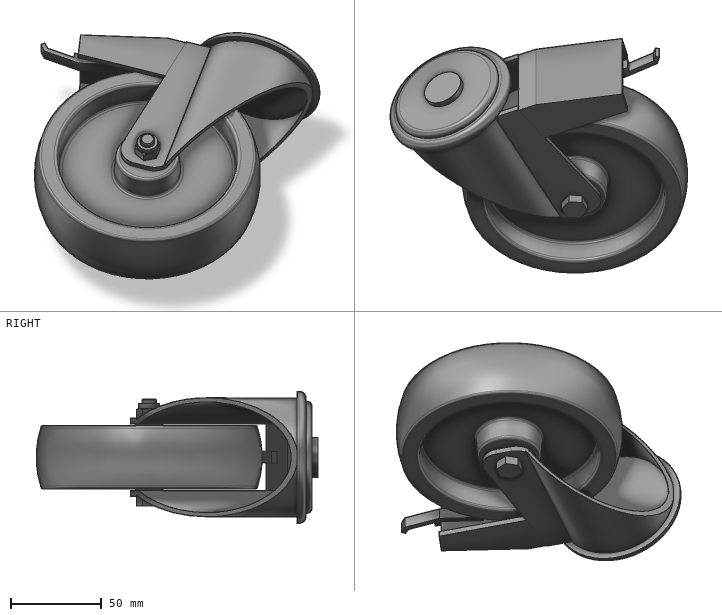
import cadquery as cq
import math


WHEEL_R = 62.5
WHEEL_HALF_W = 17.5
TREAD_EDGE_R = 60.0
TREAD_EDGE_Z = 16.0
SIDE_OUTER_R = 58.5
RIM_LIP_R = 49.6
RIM_FOOT_R = 48.8
RIM_LIP_ROUND = 2.0
WEB_HALF_T = 3.8
WEB_ROUND = 1.7
HUB_TOP_R = 17.5
HUB_FOOT_R = 18.3
HUB_TOP_ROUND = 1.9
HUB_FOOT_ROUND = 1.7
SPACER_R = 15.0 / 2

BOLT_R = 8.0 / 2
BOLT_CHAMFER = 0.6
HEX_FLATS = 12.4
NUT_BEVEL_R = 12.0 / 2
NUT_BEVEL_ANGLE = 30
COLLAR_R = 11.6 / 2
HEX_TOP_Z = 26.9
COLLAR_TOP_Z = 29.7
BOLT_TOP_Z = 32.2
HEAD_BOTTOM_Z = -HEX_TOP_Z

SWIVEL_X = 37.1
STUD_R = 22.0 / 2
STUD_TOP_Y = 93.3
UPPER_RACE_R = 62.0 / 2
UPPER_RACE_TOP_Y = 90.0
UPPER_RACE_ROUND = 3.1
LOWER_RACE_R = 73.0 / 2
LOWER_RACE_TOP_Y = 86.5
LOWER_RACE_ROUND = 3.8
LOWER_RACE_BOTTOM_Y = 81.7

FORK_TOP_Y = 79.7
LEG_OUTER_Z = 21.6
LEG_T = 3.1
LEG_INNER_Z = LEG_OUTER_Z - LEG_T
LEG_TOP_LEFT_X = -2.5
LEG_FOOT_LEFT_X = -16.7
LEG_FOOT_RIGHT_X = 9.7
LEG_FOOT_Y = -10.3
LEG_FOOT_ROUND = 10.5
NECK_R = 32.9
NECK_INNER_R = 61.0 / 2
NECK_START_X = 11.6
NECK_CUT_X = 69.8

COVER_TOP_Y = 79.0
COVER_KNEE_X = -13.1
COVER_TIP = (-59.8, 66.7)
COVER_TOE = (-57.0, 53.4)
COVER_WEB_T = 2.3
COVER_TOP_T = 2.7
COVER_SLOPE = math.atan2(COVER_TOP_Y - COVER_TIP[1], COVER_KNEE_X - COVER_TIP[0])

LEVER_HALF_W = 3.3
LEVER_OUTLINE = [
    (-59.2, 61.2),
    (-79.8, 63.5),
    (-83.0, 67.5),
    (-81.2, 69.0),
    (-78.5, 66.0),
    (-63.0, 64.3),
    (-63.4, 67.1),
    (-60.9, 67.8),
]
LEVER_ARM_T = 3.5
LEVER_ARM_LENGTH = 24.3


def extrude_about_mid_plane(points, half_width):
    return cq.Workplane("XY").polyline(points).close().extrude(half_width, both=True)


def swivel_cylinder(radius, y_low, y_high):
    """Cylinder on the swivel axis, between two heights along Y."""
    return (
        cq.Workplane("XZ", origin=(SWIVEL_X, y_low, 0))
        .circle(radius)
        .extrude(y_low - y_high)
    )


def revolve_about_axle(section):
    return section.close().revolve(360, (0, 0, 0), (0, 1, 0))


def make_tread_disc():
    """Full-width disc with a crowned tread and rounded edges."""
    edge_round = WHEEL_HALF_W - TREAD_EDGE_Z
    section = (
        cq.Workplane("XZ")
        .moveTo(0, WHEEL_HALF_W)
        .lineTo(SIDE_OUTER_R, WHEEL_HALF_W)
        .radiusArc((TREAD_EDGE_R, TREAD_EDGE_Z), edge_round)
        .threePointArc((WHEEL_R, 0), (TREAD_EDGE_R, -TREAD_EDGE_Z))
        .radiusArc((SIDE_OUTER_R, -WHEEL_HALF_W), edge_round)
        .lineTo(0, -WHEEL_HALF_W)
    )
    return revolve_about_axle(section)


def make_side_recess():
    """Ring-shaped recess between hub and rim in the upper side of the wheel."""
    section = (
        cq.Workplane("XZ")
        .moveTo(HUB_TOP_R - HUB_TOP_ROUND, WHEEL_HALF_W)
        .radiusArc((HUB_TOP_R, WHEEL_HALF_W - HUB_TOP_ROUND), HUB_TOP_ROUND)
        .lineTo(HUB_FOOT_R, WEB_HALF_T + HUB_FOOT_ROUND)
        .radiusArc((HUB_FOOT_R + HUB_FOOT_ROUND, WEB_HALF_T), -HUB_FOOT_ROUND)
        .lineTo(RIM_FOOT_R - WEB_ROUND, WEB_HALF_T)
        .radiusArc((RIM_FOOT_R, WEB_HALF_T + WEB_ROUND), -WEB_ROUND)
        .lineTo(RIM_LIP_R, WHEEL_HALF_W - RIM_LIP_ROUND)
        .radiusArc((RIM_LIP_R + RIM_LIP_ROUND, WHEEL_HALF_W), RIM_LIP_ROUND)
    )
    return revolve_about_axle(section)


def make_wheel():
    recess = make_side_recess()
    spacer = cq.Workplane("XY").circle(SPACER_R).extrude(LEG_INNER_Z, both=True)
    bore = cq.Workplane("XY").circle(BOLT_R).extrude(LEG_INNER_Z, both=True)
    disc = make_tread_disc().cut(recess).cut(recess.mirror("XY"))
    return disc.union(spacer).cut(bore)


def hexagon(z_low, z_high):
    """Hexagonal prism with corners on the Y direction."""
    across_corners = HEX_FLATS / math.cos(math.pi / 6)
    return (
        cq.Workplane("XY", origin=(0, 0, z_low))
        .transformed(rotate=(0, 0, 90))
        .polygon(6, across_corners)
        .extrude(z_high - z_low)
    )


def make_bolt():
    nut = hexagon(LEG_OUTER_Z, HEX_TOP_Z)
    height = HEX_TOP_Z - LEG_OUTER_Z
    bevel_cone = (
        cq.Workplane("XY", origin=(0, 0, HEX_TOP_Z))
        .circle(NUT_BEVEL_R)
        .extrude(-height, taper=-(90 - NUT_BEVEL_ANGLE))
    )
    nut = nut.intersect(bevel_cone)
    collar = (
        cq.Workplane("XY", origin=(0, 0, HEX_TOP_Z))
        .circle(COLLAR_R)
        .extrude(COLLAR_TOP_Z - HEX_TOP_Z)
    )
    shank = (
        cq.Workplane("XY", origin=(0, 0, -LEG_OUTER_Z))
        .circle(BOLT_R)
        .extrude(BOLT_TOP_Z + LEG_OUTER_Z)
        .faces(">Z")
        .chamfer(BOLT_CHAMFER)
    )
    head = hexagon(HEAD_BOTTOM_Z, -LEG_OUTER_Z)
    return shank.union(head).union(nut).union(collar)


def make_swivel_head():
    stud = swivel_cylinder(STUD_R, LOWER_RACE_TOP_Y, STUD_TOP_Y)
    upper_race = swivel_cylinder(UPPER_RACE_R, LOWER_RACE_TOP_Y, UPPER_RACE_TOP_Y)
    upper_race = upper_race.faces(">Y").edges().fillet(UPPER_RACE_ROUND)
    lower_race = swivel_cylinder(LOWER_RACE_R, LOWER_RACE_BOTTOM_Y, LOWER_RACE_TOP_Y)
    lower_race = lower_race.faces(">Y").edges().fillet(LOWER_RACE_ROUND)
    return lower_race.union(upper_race).union(stud)


def leg_edge_x(y):
    """X of the slanted back edge of the legs at a given height."""
    share = (FORK_TOP_Y - y) / (FORK_TOP_Y - LEG_FOOT_Y)
    return LEG_TOP_LEFT_X + share * (LEG_FOOT_LEFT_X - LEG_TOP_LEFT_X)


def fork_side():
    """Solid block with the side outline shared by the legs, the neck and its cap."""
    outline = [
        (leg_edge_x(LOWER_RACE_BOTTOM_Y), LOWER_RACE_BOTTOM_Y),
        (LEG_FOOT_LEFT_X, LEG_FOOT_Y),
        (LEG_FOOT_RIGHT_X, LEG_FOOT_Y),
        (NECK_CUT_X, LOWER_RACE_BOTTOM_Y),
    ]
    block = extrude_about_mid_plane(outline, NECK_R)
    return block.edges("|Z and <Y").fillet(LEG_FOOT_ROUND)


def slot(end_x, half_width):
    """Block below the cap, from behind the legs up to end_x."""
    length = end_x - LEG_FOOT_LEFT_X
    height = FORK_TOP_Y - LEG_FOOT_Y
    corner = (LEG_FOOT_LEFT_X, LEG_FOOT_Y, -half_width)
    return cq.Workplane("XY").box(length, height, 2 * half_width, centered=False).translate(corner)


def make_legs(side):
    plates = slot(NECK_START_X, LEG_OUTER_Z).cut(slot(NECK_START_X, LEG_INNER_Z))
    return plates.intersect(side)


def make_neck(side):
    """Tube open towards the legs, closed by a cap under the swivel head."""
    cap = swivel_cylinder(NECK_R, FORK_TOP_Y, LOWER_RACE_BOTTOM_Y)
    tube = swivel_cylinder(NECK_R, LEG_FOOT_Y, FORK_TOP_Y)
    tube = tube.cut(swivel_cylinder(NECK_INNER_R, LEG_FOOT_Y, FORK_TOP_Y))
    between_legs = slot(SWIVEL_X, LEG_INNER_Z)
    behind_legs = slot(NECK_START_X, NECK_R)
    return cap.union(tube.cut(behind_legs).cut(between_legs)).intersect(side)


def make_cover():
    leg_bottom_x = leg_edge_x(COVER_TOE[1])
    leg_top_x = leg_edge_x(COVER_TOP_Y)
    outline = [
        COVER_TIP,
        COVER_TOE,
        (leg_bottom_x, COVER_TOE[1]),
        (leg_top_x, COVER_TOP_Y),
        (COVER_KNEE_X, COVER_TOP_Y),
    ]
    inner_top_y = COVER_TOP_Y - COVER_TOP_T
    web_drop = COVER_WEB_T / math.cos(COVER_SLOPE)
    inner_knee_x = COVER_KNEE_X - (COVER_TOP_T - web_drop) / math.tan(COVER_SLOPE)
    past_tip_x = COVER_TIP[0] - COVER_WEB_T
    cavity_outline = [
        (past_tip_x, inner_top_y - (inner_knee_x - past_tip_x) * math.tan(COVER_SLOPE)),
        (inner_knee_x, inner_top_y),
        (leg_top_x, inner_top_y),
        (leg_top_x, COVER_TOE[1]),
        (past_tip_x, COVER_TOE[1]),
    ]
    cavity = extrude_about_mid_plane(cavity_outline, LEG_INNER_Z)
    return extrude_about_mid_plane(outline, LEG_OUTER_Z).cut(cavity)


def make_lever():
    pedal = extrude_about_mid_plane(LEVER_OUTLINE, LEVER_HALF_W)
    arm = (
        cq.Workplane("XY", origin=(*LEVER_OUTLINE[0], 0))
        .transformed(rotate=(0, 0, math.degrees(COVER_SLOPE)))
        .rect(LEVER_ARM_LENGTH, LEVER_ARM_T, centered=False)
        .extrude(LEVER_HALF_W, both=True)
    )
    return pedal.union(arm)


def make_fork():
    side = fork_side()
    fork = make_swivel_head().union(make_neck(side)).union(make_legs(side))
    bolt_hole = cq.Workplane("XY").circle(BOLT_R).extrude(LEG_OUTER_Z, both=True)
    fork = fork.cut(bolt_hole)
    return fork.union(make_cover(), clean=False).union(make_lever(), clean=False)


fork = make_fork()
wheel = make_wheel()
bolt = make_bolt()
result = cq.Compound.makeCompound([body.solids().val() for body in (fork, wheel, bolt)])